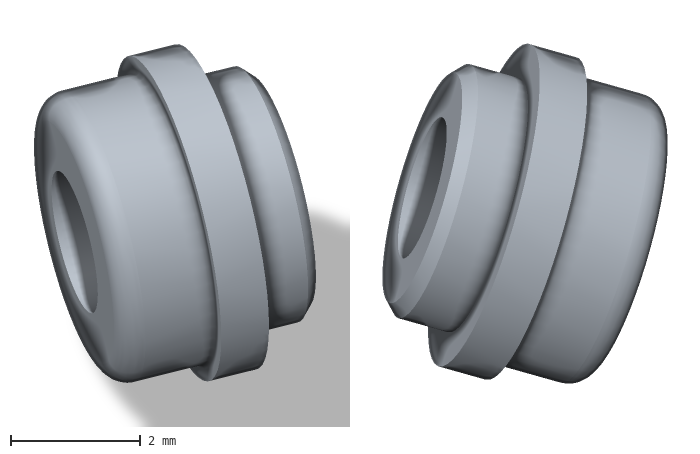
import cadquery as cq

flange_diameter = 5.16
total_length = 3.3

barrel_diameter = 4.625
barrel_length = 1.52
barrel_edge_radius = 0.38
barrel_root_radius = 0.06
flange_thickness = 0.775
spigot_diameter = 4.065
spigot_chamfer = 0.19

sleeve_outer_diameter = 2.845
sleeve_bore_diameter = 2.26

front_y = -total_length / 2
rear_y = total_length / 2
flange_front_y = front_y + barrel_length
flange_rear_y = flange_front_y + flange_thickness

tolerance = 5.16e-05


def cylinder(diameter, start_y, end_y):
    """Solid cylinder on the Y axis between two places."""
    return (
        cq.Workplane("XZ", origin=(0, start_y, 0))
        .circle(diameter / 2)
        .extrude(start_y - end_y)
    )


def make_housing():
    """Flanged housing with a rounded front, a chamfered rear and a plain bore."""
    barrel = cylinder(barrel_diameter, front_y, flange_front_y)
    barrel = barrel.faces("<Y").edges().fillet(barrel_edge_radius)

    spigot = cylinder(spigot_diameter, flange_rear_y, rear_y)
    spigot = spigot.faces(">Y").edges().chamfer(spigot_chamfer)

    flange = cylinder(flange_diameter, flange_front_y, flange_rear_y)
    body = flange.union(barrel).union(spigot)

    root_edge = [
        edge
        for edge in body.edges("%CIRCLE").vals()
        if abs(edge.Center().y - flange_front_y) < tolerance
        and abs(edge.radius() - barrel_diameter / 2) < tolerance
    ]
    body = body.newObject(root_edge).fillet(barrel_root_radius)

    return body.cut(cylinder(sleeve_outer_diameter, front_y, rear_y))


def make_sleeve():
    """Plain tube that fills the housing bore, flush at both ends."""
    tube = cylinder(sleeve_outer_diameter, front_y, rear_y)
    return tube.cut(cylinder(sleeve_bore_diameter, front_y, rear_y))


housing = make_housing()
sleeve = make_sleeve()

result = cq.Compound.makeCompound([housing.val(), sleeve.val()])